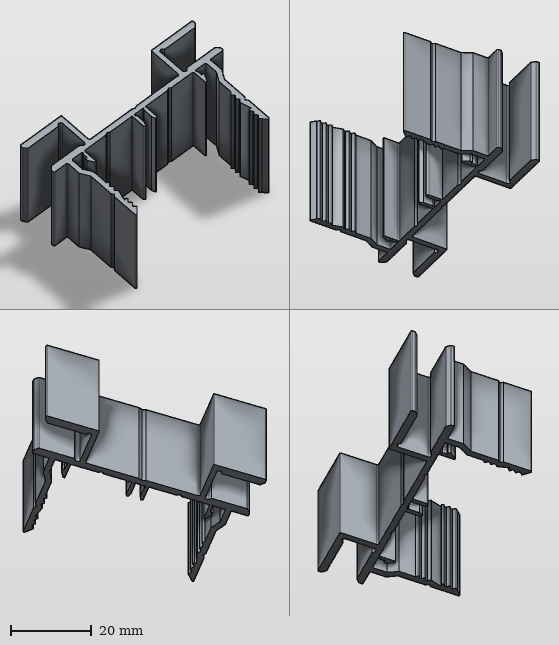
import cadquery as cq
import math

length = 30.0
overall_width = 58.0
overall_depth = 35.5
half_width = overall_width / 2

wall = 2.05
wall_front = 12.0
wall_back = wall_front - wall
wall_end = 28.5
floor_bottom = 15.1
floor_top = 16.55
end_chamfer = 1.0
relief_radius = 0.65

web = 1.7
web_back = wall_front - web
front_notch_y = 10.3
front_notch_depth = 0.4
front_notch_half_width = 0.7
centre_notch_depth = 0.3
centre_notch_half_width = 0.85

arm_thickness = 1.5
arm_root_outer = 24.0
arm_root_inner = arm_root_outer - arm_thickness
arm_outer = 22.5
arm_inner = arm_outer - arm_thickness
arm_slope = math.radians(30)
arm_bend_x = 16.35
arm_groove_x = 27.1
arm_groove_depth = 0.5
arm_groove_half_width = 0.7
arm_tip_height = 0.4

tooth_pitch = 1.7
tooth_height = 0.65
tooth_half_width = 0.65
tooth_tip_radius = 0.2
first_tooth_x = 23.6
ramp_tooth_index = 2
last_tooth_index = 6
ramp_dip = 0.3
ramp_clearance = 0.35

fin_tip = 16.4
hook_inner = 18.3
hook_outer = 19.25
hook_catch_x = 14.0
hook_catch_y = 19.85
hook_catch_width = 0.75
hook_tip_outer = 18.8
fin_inner = 1.2
fin_outer = 2.25
fin_slope_x = 15.4
fin_tip_inner = 1.6
undercut_length = 0.65
undercut_depth = 0.25

corner_radius = 0.2
edge_radius = 0.3
large_edge_radius = 0.45


def prism(*points):
    """Extrude a closed straight-sided outline over the full length."""
    return cq.Workplane("XY").polyline(points).close().extrude(length)


def block(x_min, x_max, y_min, y_max):
    return prism((x_min, y_min), (x_max, y_min), (x_max, y_max), (x_min, y_max))


def cylinder(x, y, radius):
    return cq.Workplane("XY").center(x, y).circle(radius).extrude(length)


def round_edges(body, points, radius):
    """Fillet the lengthwise edges that pass through the given (x, y) points."""
    for x, y in points:
        edge = cq.selectors.NearestToPointSelector((x, y, length / 2))
        body = body.edges("|Z").edges(edge).fillet(radius)
    return body


def channel():
    flange = prism(
        (0, floor_bottom),
        (wall, floor_bottom),
        (wall, half_width - end_chamfer),
        (wall - end_chamfer, half_width),
        (0, half_width),
    )
    upright = prism(
        (wall_back, floor_bottom),
        (wall_front, floor_bottom),
        (wall_front, wall_end),
        (wall_back + end_chamfer, wall_end),
        (wall_back, wall_end - end_chamfer),
    )
    floor = block(0, wall_front, floor_bottom, floor_top)
    body = flange.union(upright).union(floor)

    relief_y = floor_top + relief_radius
    tangent = relief_radius * math.sqrt(0.5)
    run_out = prism(
        (wall_back, relief_y),
        (wall_back + tangent, relief_y + tangent),
        (wall_back, relief_y + 2 * tangent),
    )
    body = body.cut(cylinder(wall, relief_y, relief_radius))
    return body.cut(cylinder(wall_back, relief_y, relief_radius)).cut(run_out)


def half_web():
    web_body = block(web_back, wall_front, 0, floor_bottom)
    front_notch = prism(
        (wall_front, front_notch_y - front_notch_half_width),
        (wall_front, front_notch_y + front_notch_half_width),
        (wall_front - front_notch_depth, front_notch_y),
    )
    centre_notch = prism(
        (web_back, -centre_notch_half_width),
        (web_back + centre_notch_depth, 0),
        (web_back, centre_notch_half_width),
    )
    return web_body.cut(front_notch).cut(centre_notch)


def tooth(x):
    """Grip tooth pointing inwards, with a rounded tip."""
    tip_y = arm_inner - tooth_height
    root_y = arm_inner + arm_thickness / 2
    body = prism(
        (x - tooth_half_width, arm_inner),
        (x - tooth_half_width, root_y),
        (x + tooth_half_width, root_y),
        (x + tooth_half_width, arm_inner),
        (x, tip_y),
    )
    return round_edges(body, [(x, tip_y)], tooth_tip_radius)


def arm():
    slope_run = (arm_root_outer - arm_outer) / math.tan(arm_slope)
    inner_shift = arm_thickness * math.tan(arm_slope / 2)
    inner_bend_x = arm_bend_x - inner_shift
    tip_inner = arm_outer - arm_tip_height
    end_x = overall_depth - (tip_inner - arm_inner)
    body = prism(
        (wall_front, arm_root_outer),
        (arm_bend_x, arm_root_outer),
        (arm_bend_x + slope_run, arm_outer),
        (overall_depth, arm_outer),
        (overall_depth, tip_inner),
        (end_x, arm_inner),
        (inner_bend_x + slope_run, arm_inner),
        (inner_bend_x, arm_root_inner),
        (wall_front, arm_root_inner),
    )

    ramp_x = first_tooth_x + ramp_tooth_index * tooth_pitch
    ramp_end = ramp_x + 2 * tooth_pitch - ramp_clearance
    groove = prism(
        (arm_groove_x - arm_groove_half_width, arm_outer),
        (arm_groove_x + arm_groove_half_width, arm_outer),
        (arm_groove_x, arm_outer - arm_groove_depth),
    )
    body = body.cut(groove)

    for index in range(last_tooth_index + 1):
        if index != ramp_tooth_index + 1:
            body = body.union(tooth(first_tooth_x + index * tooth_pitch))
    ramp_tip = arm_inner - tooth_height + tooth_tip_radius / 2
    ramp_floor = arm_inner + ramp_dip
    body = body.union(prism((ramp_x, ramp_tip), (ramp_end, ramp_floor), (ramp_x, ramp_floor)))
    dip_start = ramp_x + (ramp_end - ramp_x) * (arm_inner - ramp_tip) / (ramp_floor - ramp_tip)
    dip = prism((dip_start, arm_inner), (ramp_end, arm_inner - tooth_height), (ramp_end, ramp_floor))
    return body.cut(dip)


def hook():
    undercut_end = wall_front + undercut_length
    return prism(
        (wall_front, hook_inner),
        (fin_tip, hook_inner),
        (fin_tip, hook_tip_outer),
        (hook_catch_x + hook_catch_width, hook_catch_y),
        (hook_catch_x, hook_catch_y),
        (hook_catch_x, hook_outer),
        (undercut_end, hook_outer),
        (undercut_end - undercut_depth, hook_outer - undercut_depth),
        (wall_front, hook_outer - undercut_depth),
    )


def short_fin():
    undercut_end = wall_front + undercut_length
    return prism(
        (wall_front, fin_outer),
        (fin_tip, fin_outer),
        (fin_tip, fin_tip_inner),
        (fin_slope_x, fin_inner),
        (undercut_end, fin_inner),
        (undercut_end - undercut_depth, fin_inner + undercut_depth),
        (wall_front, fin_inner + undercut_depth),
    )


half = channel().union(half_web()).union(arm()).union(hook()).union(short_fin())
half = round_edges(half, [(0, floor_bottom)], corner_radius)
half = round_edges(
    half,
    [
        (0, half_width),
        (wall - end_chamfer, half_width),
        (wall, half_width - end_chamfer),
        (wall_front, wall_end),
        (wall_front, arm_root_outer),
        (wall_front, arm_root_inner),
        (wall_front, hook_inner),
        (overall_depth, arm_outer),
    ],
    edge_radius,
)
half = round_edges(
    half,
    [
        (web_back, floor_bottom),
        (wall_back, wall_end - end_chamfer),
        (wall_back + end_chamfer, wall_end),
        (fin_tip, fin_outer),
    ],
    large_edge_radius,
)
result = half.union(half.mirror("XZ")).clean()